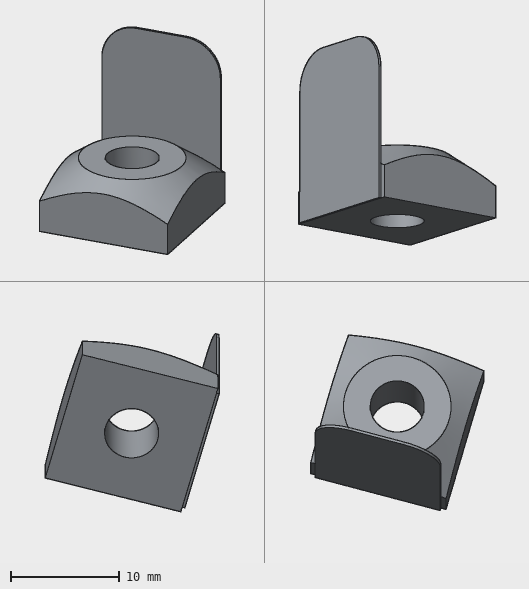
import cadquery as cq
import math

block_side = 13.0
block_height = 6.0
hole_diameter = 5.0
crown_flat_diameter = 9.95
crown_slope = 35

plate_width = 12
plate_height = 16
plate_thickness = 0.25
plate_corner_radius = 3.5


def make_crown_envelope():
    """Cylinder around the block corners whose top falls away as a cone."""
    flat_radius = crown_flat_diameter / 2
    outer_radius = block_side
    rim_height = block_height - (outer_radius - flat_radius) * math.tan(math.radians(crown_slope))
    return (
        cq.Workplane("XZ")
        .moveTo(0, -block_height)
        .lineTo(outer_radius, -block_height)
        .lineTo(outer_radius, rim_height)
        .lineTo(flat_radius, block_height)
        .lineTo(0, block_height)
        .close()
        .revolve(360, (0, 0, 0), (0, 1, 0))
    )


def make_block():
    """Square block, centred on Z, with its top turned to a cone and a through hole."""
    blank = cq.Workplane("XY").rect(block_side, block_side).extrude(block_height)
    hole = cq.Workplane("XY").circle(hole_diameter / 2).extrude(block_height)
    return blank.intersect(make_crown_envelope()).cut(hole)


def make_plate():
    """Upright plate with rounded upper corners, flush with the block's base."""
    return (
        cq.Workplane("XY")
        .box(plate_width, plate_thickness, plate_height, centered=(True, False, False))
        .edges("|Y and >Z")
        .fillet(plate_corner_radius)
        .translate((0, block_side / 2, 0))
    )


block = make_block()
plate = make_plate()
result = cq.Compound.makeCompound([block.val(), plate.val()])